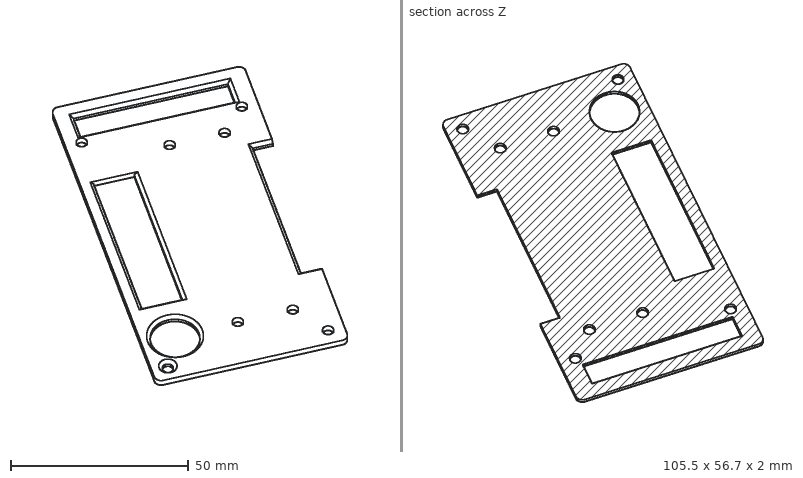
import cadquery as cq

length = 105.5
width = 56.7
thickness = 2.0
corner_radius = 2.0

bevel = 1.0

slot_left = -48.2
slot_right = -41.1
slot_bottom = -23.0
slot_top = 22.4

window_left = -23.4
window_right = 24.8
window_bottom = -24.4
window_top = -12.5
notch_floor = 22.4

hole_diameter = 3.2
large_diameter = 14.0
inner_left_x = -30.4
inner_right_x = 37.9
inner_rear_y = 16.1
inner_front_y = 0
outer_left_x = -38.3
outer_right_x = 48.0
outer_y = 23.5
large_y = -18.5

hole_centers = [
    (x, y)
    for x in (inner_left_x, inner_right_x)
    for y in (inner_front_y, inner_rear_y)
]
hole_centers += [(outer_left_x, -outer_y), (outer_left_x, outer_y), (outer_right_x, outer_y)]


def rectangular_cutter(left, right, bottom, top):
    """Rectangular through cutter that flares outward on all sides near the upper face."""
    size_x = right - left
    size_y = top - bottom
    straight = cq.Workplane("XY").rect(size_x, size_y).extrude(thickness)
    flare = (
        cq.Workplane("XY")
        .workplane(offset=thickness - bevel)
        .rect(size_x, size_y)
        .workplane(offset=bevel)
        .rect(size_x + 2 * bevel, size_y + 2 * bevel)
        .loft(ruled=True)
    )
    return straight.union(flare).translate(((left + right) / 2, (bottom + top) / 2, 0))


def round_cutter(x, y, diameter):
    """Round through cutter with a conical flare near the upper face."""
    radius = diameter / 2
    straight = cq.Workplane("XY").circle(radius).extrude(thickness)
    flare = (
        cq.Workplane("XY")
        .workplane(offset=thickness - bevel)
        .circle(radius)
        .workplane(offset=bevel)
        .circle(radius + bevel)
        .loft(ruled=True)
    )
    return straight.union(flare).translate((x, y, 0))


plate = (
    cq.Workplane("XY")
    .rect(length, width)
    .extrude(thickness)
    .edges("|Z")
    .fillet(corner_radius)
)

slot = rectangular_cutter(slot_left, slot_right, slot_bottom, slot_top)

window_limit = cq.Workplane("XY").box(length, width, thickness, centered=(False, True, False))
window = rectangular_cutter(window_left, window_right, window_bottom, window_top).intersect(
    window_limit.translate((window_left, 0, 0))
)

notch = rectangular_cutter(window_left, window_right, notch_floor, width)

small_holes = cq.Workplane("XY").pushPoints(hole_centers).circle(hole_diameter / 2).extrude(thickness)
large_hole = round_cutter(inner_right_x, large_y, large_diameter)
countersunk_hole = round_cutter(outer_right_x, -outer_y, hole_diameter)

result = plate
for cutter in (slot, window, notch, small_holes, large_hole, countersunk_hole):
    result = result.cut(cutter)